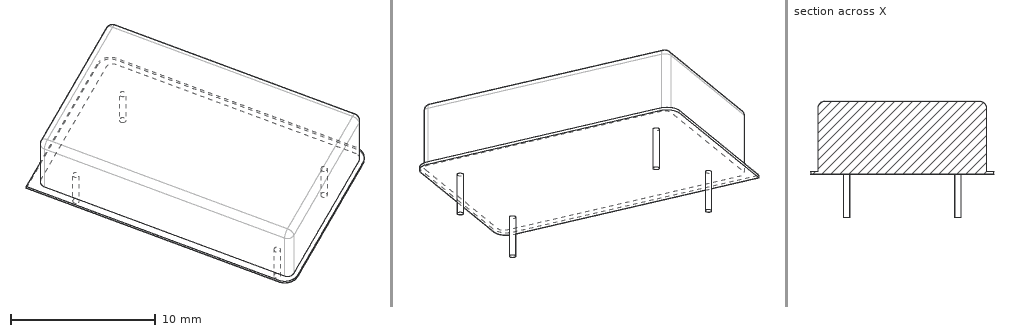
import cadquery as cq

plate_length = 20.3
plate_width = 12.7
plate_thickness = 0.2
plate_corner_radius = 1.0

can_length = 19.33
can_width = 11.71
can_edge_radius = 0.49
can_offset_x = 0.18

overall_height = 8.08
pin_length = 3.0
pin_diameter = 0.45
pin_spacing_x = 15.39
pin_spacing_y = 7.71
pin_offset_x = 0.18

can_height = overall_height - pin_length - plate_thickness


def make_plate():
    """Thin plate with one square corner at -X, -Y that marks pin 1."""
    plate = cq.Workplane("XY").box(plate_length, plate_width, plate_thickness, centered=(True, True, False))
    plate = plate.edges("|Z and >X").fillet(plate_corner_radius)
    return plate.edges("|Z and <X").edges(">Y").fillet(plate_corner_radius)


def make_can():
    """Box with rounded vertical and top edges."""
    can = (
        cq.Workplane("XY", origin=(can_offset_x, 0, plate_thickness))
        .box(can_length, can_width, can_height, centered=(True, True, False))
    )
    return can.edges("|Z or >Z").fillet(can_edge_radius)


def make_pins():
    """Four round pins hanging from the plate underside."""
    return (
        cq.Workplane("XY", origin=(pin_offset_x, 0, 0))
        .rarray(pin_spacing_x, pin_spacing_y, 2, 2)
        .circle(pin_diameter / 2)
        .extrude(-pin_length)
    )


result = make_plate().union(make_can()).union(make_pins())